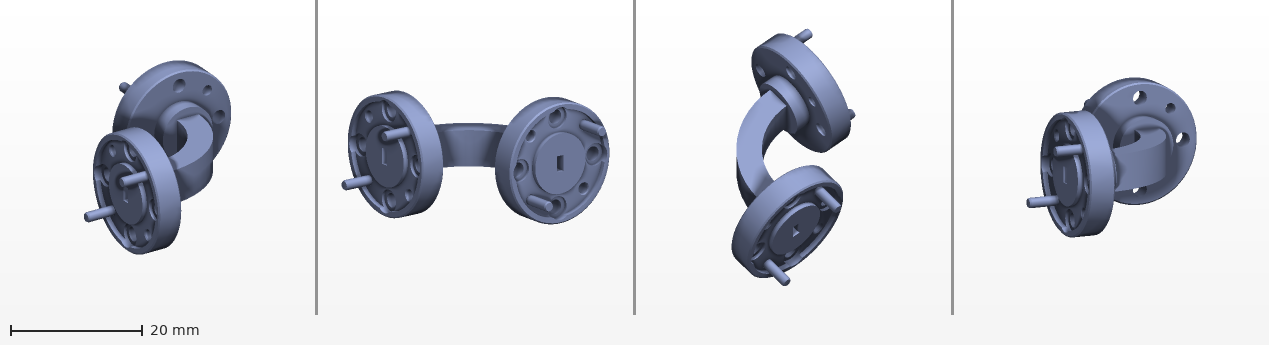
import cadquery as cq
import math


overall_length = 32.45

flange_diameter = 19.05
flange_thickness = 4.12
flange_chamfer = 0.23
face_recess_outer_diameter = 17.0
face_recess_inner_diameter = 9.55
face_recess_depth = 0.8

collar_diameter = 8.92
collar_length = 2.43

hole_circle_radius = 7.15
screw_hole_diameter = 2.27
counterbore_diameter = 3.57
counterbore_depth = 1.33
dowel_hole_diameter = 1.7
dowel_hole_chamfer = 0.15
pin_hole_chamfer = 0.05

pin_diameter = 1.6
pin_protrusion = 3.9
pin_tip_length = 0.25
pin_tip_inset = 0.13

arm_width = 3.9
arm_height = 5.7
aperture_width = 1.25
aperture_height = 2.53

end_length = flange_thickness + collar_length
recess_floor = end_length - face_recess_depth
counterbore_floor = end_length - counterbore_depth
bend_radius = overall_length - pin_protrusion - end_length - flange_diameter / 2

end_planes = [
    cq.Plane(origin=(bend_radius, 0, 0), xDir=(1, 0, 0), normal=(0, -1, 0)),
    cq.Plane(origin=(0, bend_radius, 0), xDir=(0, -1, 0), normal=(-1, 0, 0)),
]


def on_hole_circle(angles):
    """Points on the hole circle at the given angles in degrees."""
    return [
        (hole_circle_radius * math.cos(math.radians(a)), hole_circle_radius * math.sin(math.radians(a)))
        for a in angles
    ]


screw_points = on_hole_circle([0, 90, 180, 270])
pin_points = on_hole_circle([45, 225])
open_dowel_points = on_hole_circle([135, 315])


def turned(profile):
    """Solid of revolution about local Z from (radius, height) points."""
    return cq.Workplane("XZ").polyline(profile).close().revolve(360, (0, 0), (0, 1)).val()


def cylinders(points, diameter, bottom, top):
    """Equal cylinders along local Z, standing on the given points."""
    return (
        cq.Workplane("XY").workplane(offset=bottom).pushPoints(points)
        .circle(diameter / 2).extrude(top - bottom)
    )


def chamfered_holes(points, diameter, chamfer):
    """Cutters for holes through the flange, with a 45 degree chamfer at the recess floor."""
    radius = diameter / 2
    profile = [
        (0, collar_length),
        (radius, collar_length),
        (radius, recess_floor - chamfer),
        (radius + chamfer, recess_floor),
        (0, recess_floor),
    ]
    cutter = turned(profile)
    return cq.Workplane("XY").pushPoints(points).eachpoint(lambda place: cutter.moved(place))


def make_end():
    """Collar and flange in local axes, with the flange face at the top."""
    collar = cq.Workplane("XY").circle(collar_diameter / 2).extrude(collar_length)
    disc = (
        cq.Workplane("XY").workplane(offset=collar_length)
        .circle(flange_diameter / 2).extrude(flange_thickness)
        .edges().chamfer(flange_chamfer)
    )
    face_recess = (
        cq.Workplane("XY").workplane(offset=recess_floor)
        .circle(face_recess_outer_diameter / 2).circle(face_recess_inner_diameter / 2)
        .extrude(face_recess_depth)
    )
    end = collar.union(disc).cut(face_recess)

    end = end.cut(cylinders(screw_points, screw_hole_diameter, collar_length, end_length))
    end = end.cut(cylinders(screw_points, counterbore_diameter, counterbore_floor, end_length))

    end = end.cut(chamfered_holes(open_dowel_points, dowel_hole_diameter, dowel_hole_chamfer))
    end = end.cut(chamfered_holes(pin_points, pin_diameter, pin_hole_chamfer))

    return end.cut(cq.Workplane("XY").rect(aperture_width, aperture_height).extrude(end_length))


def make_arm():
    """Quarter-turn arm of rectangular section around the Z axis."""
    inner = bend_radius - arm_width / 2
    outer = bend_radius + arm_width / 2
    half = math.sqrt(0.5)
    return (
        cq.Workplane("XY").workplane(offset=-arm_height / 2)
        .moveTo(inner, 0).lineTo(outer, 0)
        .threePointArc((outer * half, outer * half), (0, outer))
        .lineTo(0, inner)
        .threePointArc((inner * half, inner * half), (inner, 0))
        .close().extrude(arm_height)
    )


def make_waveguide():
    """Arm with a flanged end at each side, as one body."""
    waveguide = make_arm()
    end = make_end().val()
    for plane in end_planes:
        waveguide = waveguide.union(cq.Workplane(end.moved(plane.location)))
    return waveguide


def make_pin():
    """Pin along local Z from the back of the flange, with a tapered tip."""
    radius = pin_diameter / 2
    tip = end_length + pin_protrusion
    profile = [
        (0, collar_length),
        (radius, collar_length),
        (radius, tip - pin_tip_length),
        (radius - pin_tip_inset, tip),
        (0, tip),
    ]
    return turned(profile)


waveguide = make_waveguide()

pins = []
for plane in end_planes:
    for x, y in pin_points:
        pin = make_pin().translate(cq.Vector(x, y, 0))
        pins.append(pin.moved(plane.location))

result = cq.Compound.makeCompound([waveguide.val(), *pins])